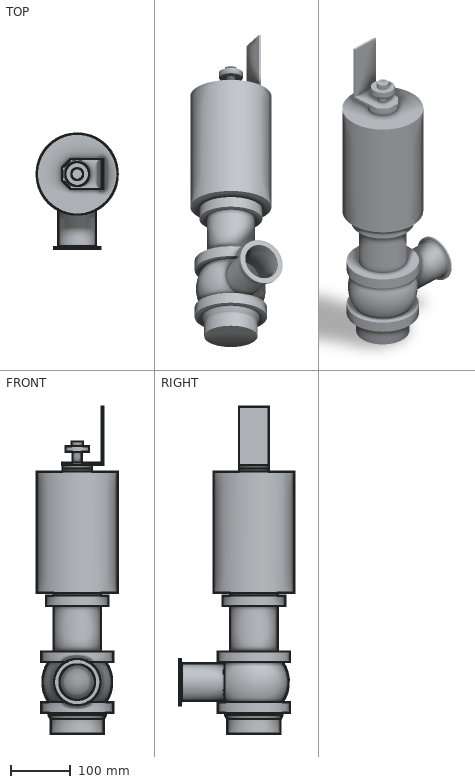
import cadquery as cq


spigot_diameter = 89.1
spigot_height = 25.0
shoulder_diameter = 96.0
shoulder_bottom = 31.5

ball_diameter = 117.0
flange_diameter = 121.0
flange_thickness = 18.0
lower_flange_bottom = 35.0
lower_flange_top = lower_flange_bottom + flange_thickness
flange_gap = 67.0
ball_center_z = lower_flange_top + flange_gap / 2
upper_flange_bottom = lower_flange_top + flange_gap
upper_flange_top = upper_flange_bottom + flange_thickness

neck_diameter = 80.0
collar_diameter = 105.0
collar_bottom = 213.5
collar_top = 231.0

actuator_diameter = 135.5
actuator_bottom = 235.5
actuator_top = 438.0
pad_diameter = 50.0
pad_thickness = 5.0
pad_top = actuator_top + pad_thickness

port_end = 125.0
port_diameter = 63.5
port_bore_diameter = 59.5
ferrule_diameter = 77.5
ferrule_thickness = 2.85
ferrule_cone_diameter = 67.5
ferrule_cone_length = 2.0

indicator_base_top = 449.5
bracket_thickness = 3.75
bracket_width = pad_diameter
bracket_reach_back = pad_diameter / 2
bracket_reach_front = 44.0
bracket_corner_cut = 14.0
bracket_top = 546.75
stem_diameter = 16.0
target_diameter = 40.0
target_bottom = 471.0
target_top = 480.5
stem_head_diameter = 19.5
stem_head_top = 488.5


def disc(diameter, bottom, top):
    """Solid cylinder on the valve axis between two heights."""
    return cq.Workplane("XY", origin=(0, 0, bottom)).circle(diameter / 2).extrude(top - bottom)


def make_lower_spigot():
    """Spigot that widens through a cone to a shoulder under the lower flange."""
    profile = [
        (0, 0),
        (spigot_diameter / 2, 0),
        (spigot_diameter / 2, spigot_height),
        (shoulder_diameter / 2, shoulder_bottom),
        (shoulder_diameter / 2, lower_flange_bottom),
        (0, lower_flange_bottom),
    ]
    return cq.Workplane("XZ").polyline(profile).close().revolve(360, (0, 0), (0, 1))


def make_ball():
    """Ball cut flat where it meets the two flanges."""
    ball = cq.Workplane("XY", origin=(0, 0, ball_center_z)).sphere(ball_diameter / 2)
    return ball.intersect(disc(ball_diameter, lower_flange_top, upper_flange_bottom))


def make_port():
    """Tube from the ball axis to the ferrule face; the solid ball later closes its inner end."""
    ferrule_back = port_end - ferrule_thickness
    cone_start = ferrule_back - ferrule_cone_length
    profile = [
        (port_bore_diameter / 2, 0),
        (port_diameter / 2, 0),
        (port_diameter / 2, cone_start),
        (ferrule_cone_diameter / 2, ferrule_back),
        (ferrule_diameter / 2, ferrule_back),
        (ferrule_diameter / 2, port_end),
        (port_bore_diameter / 2, port_end),
    ]
    port = cq.Workplane("XY").polyline(profile).close().revolve(360, (0, 0), (0, 1))
    return port.rotate((0, 0, 0), (0, 0, 1), 180).translate((0, 0, ball_center_z))


def make_valve():
    """Spigot, flanges, ball, port, neck and actuator as one solid."""
    valve = make_lower_spigot()
    valve = valve.union(disc(flange_diameter, lower_flange_bottom, lower_flange_top))
    valve = valve.union(make_ball())
    valve = valve.union(disc(flange_diameter, upper_flange_bottom, upper_flange_top))
    valve = valve.union(disc(neck_diameter, upper_flange_top, actuator_bottom))
    valve = valve.union(disc(collar_diameter, collar_bottom, collar_top))
    valve = valve.union(disc(actuator_diameter, actuator_bottom, actuator_top))
    valve = valve.union(disc(pad_diameter, actuator_top, pad_top))
    return valve.union(make_port())


def make_bracket():
    """Angle bracket: a flat foot with two cut corners and an upright plate at its +X end."""
    foot_length = bracket_reach_back + bracket_reach_front
    foot_center_x = (bracket_reach_front - bracket_reach_back) / 2
    foot = (
        cq.Workplane("XY", origin=(foot_center_x, 0, indicator_base_top))
        .rect(foot_length, bracket_width)
        .extrude(bracket_thickness)
        .edges("|Z and <X")
        .chamfer(bracket_corner_cut)
    )
    upright_center_x = bracket_reach_front - bracket_thickness / 2
    upright = (
        cq.Workplane("XY", origin=(upright_center_x, 0, indicator_base_top))
        .rect(bracket_thickness, bracket_width)
        .extrude(bracket_top - indicator_base_top)
    )
    return foot.union(upright)


def make_indicator():
    """Base disc, bracket and stem with its target disc, standing on the actuator pad."""
    indicator = disc(pad_diameter, pad_top, indicator_base_top)
    indicator = indicator.union(make_bracket())
    indicator = indicator.union(disc(stem_diameter, indicator_base_top, target_bottom))
    indicator = indicator.union(disc(target_diameter, target_bottom, target_top))
    return indicator.union(disc(stem_head_diameter, target_top, stem_head_top))


valve = make_valve()
indicator = make_indicator()
result = cq.Compound.makeCompound([valve.val(), indicator.val()])